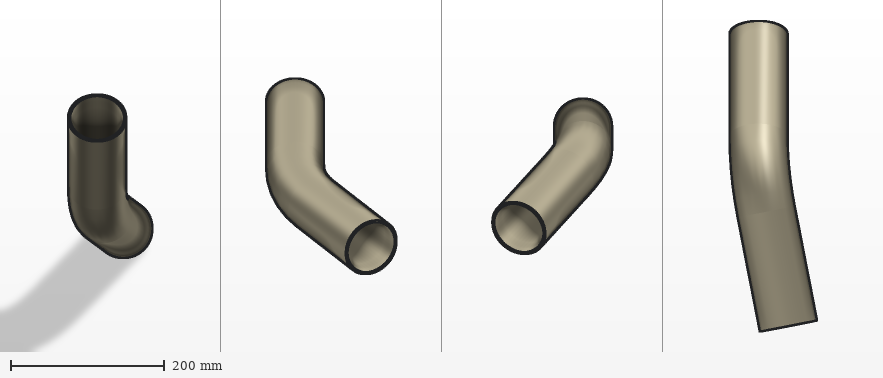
import cadquery as cq
import math

outer_diameter = 76.0
inner_diameter = 70.0
leg_length = 151.5
bend_radius = 193.8
bend_angle = 30.0


def bend_point(angle_degrees):
    """Point (y, z) on the bend axis; the bend starts at the origin and turns from -Z toward +Y."""
    angle = math.radians(angle_degrees)
    return (bend_radius * (1 - math.cos(angle)), -bend_radius * math.sin(angle))


bend_end = bend_point(bend_angle)
slope = math.radians(bend_angle)
lower_end = (
    bend_end[0] + leg_length * math.sin(slope),
    bend_end[1] - leg_length * math.cos(slope),
)
axis_path = (
    cq.Workplane("YZ")
    .moveTo(0, leg_length)
    .lineTo(0, 0)
    .threePointArc(bend_point(bend_angle / 2), bend_end)
    .lineTo(*lower_end)
)

result = (
    cq.Workplane("XY", origin=(0, 0, leg_length))
    .circle(outer_diameter / 2)
    .circle(inner_diameter / 2)
    .sweep(axis_path)
)